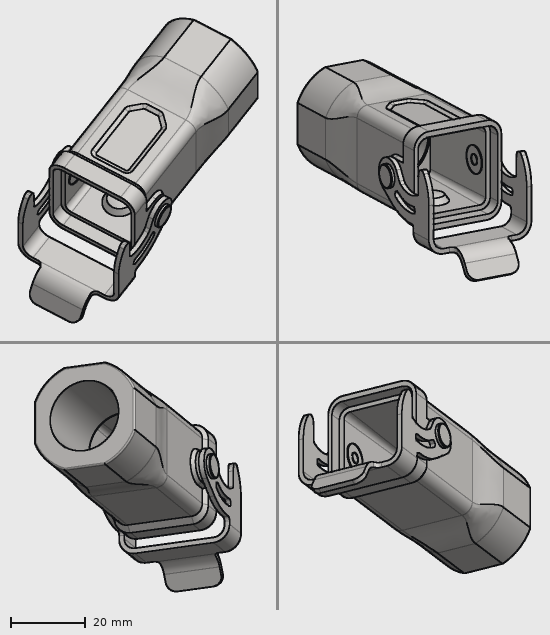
import cadquery as cq
import math


overall_length = 79.4
hood_length = 59.8
rear_size = 29.0
rear_flat = 11.75
rear_round_radius = 15.65
rear_start = 44.9
rear_edge_round = 0.5
body_size = 24.8
body_corner = 3.2
body_end = 31.9
collar_width = 27.2
collar_height = 28.1
collar_corner = 4.6
ramp_back = 7.0
ramp_length = (collar_height - body_size) / 2
blend_steps = 6

mouth_size = 24.8
mouth_corner = 3.1
mouth_depth = 4.0
cavity_size = 21.0
cavity_corner = 1.35
cavity_draft = 1.0
cavity_end = body_end
bore_diameter = 19.8
bore_chamfer = 0.3
screw_y = 13.6
screw_base_radius = 5.1
screw_shoulder_z = -9.1
screw_top_radius = 3.4
screw_base_z = -11.4
screw_top_z = -8.5

recess_width = 12.9
recess_front = 8.35
recess_back = 30.65
recess_cut = 3.65
recess_round = 1.9
recess_depth = 0.6
recess_bevel = 1.3

pivot_y = 9.5
pad_y = 10.4
pad_radius = 5.0
pad_draft = 30.0
neck_radius = 2.3
head_radius = 3.3
head_half_span = 17.0
head_chamfer = 0.2
rivet_radius = 4.0
rivet_inner_x = 10.65
rivet_hole_radius = 1.5
rivet_hole_depth = 0.8

strip = 1.5
lever_half_width = 16.0
lever_bend = 4.6
lever_bottom = -16.7
lever_front = -11.7
lever_back = -3.5
eye_radius = 5.0
arm_center = (-1.75, 6.8)
arm_inner_radius = 8.9
arm_outer_radius = 16.9
slot_radius = 12.9
slot_width = 2.1
slot_end_round = 0.95
slot_angles = (-53.8, -101.5)
arm_fillet = 2.4
eye_angles = (-56.0, 145.0)
arm_outer_start = -58.0
arm_inner_start = -53.0
corner_fillet = 0.95
horn_back = -6.1
horn_straight_z = 4.0
horn_shoulder = (-6.35, 5.55)
horn_tip = (-7.5, 6.5)
horn_arc_radius = 13.5
horn_arc_start = -2.2
horn_arc_end_angle = 143.0

tab_half_width = 8.0
tab_end = hood_length - overall_length
tab_bend = 6.2
tab_angle = math.radians(60)
tab_corner = 2.85
tab_neck = 1.6


def on_circle(center, radius, degrees):
    angle = math.radians(degrees)
    return (center[0] + radius * math.cos(angle), center[1] + radius * math.sin(angle))


def quarter_turned(point, quarters):
    for _ in range(quarters):
        point = (-point[1], point[0])
    return point


def rounded_outline(width, height, corner):
    return cq.Sketch().rect(width, height).vertices().fillet(corner)


def rounded_section(width, height, corner, y):
    """Rounded rectangle in the XZ plane at the given Y; it extrudes towards -Y."""
    return cq.Workplane("XZ", origin=(0, y, 0)).placeSketch(rounded_outline(width, height, corner))


def hood_section(grown):
    """Four flats and four corner arcs, growing from the body outline (0) to the rear outline (1)."""
    body_flat = body_size - 2 * body_corner
    body_diagonal = body_flat / math.sqrt(2) + body_corner
    half = (body_size + grown * (rear_size - body_size)) / 2
    flat = (body_flat + grown * (rear_flat - body_flat)) / 2
    diagonal = body_diagonal + grown * (rear_round_radius - body_diagonal)
    middle = diagonal * math.sqrt(0.5)
    sketch = cq.Sketch()
    for quarter in range(4):
        side_start, side_end, corner_middle, corner_end = (
            quarter_turned(point, quarter)
            for point in ((half, -flat), (half, flat), (middle, middle), (flat, half))
        )
        sketch = sketch.segment(side_start, side_end).arc(side_end, corner_middle, corner_end)
    return sketch.assemble()


def body_to_rear_blend():
    """Loft whose outline follows an S curve from the body to the rear section."""
    sections = []
    for step in range(blend_steps + 1):
        along = step / blend_steps
        grown = along * along * (3 - 2 * along)
        shift = cq.Location(cq.Vector(0, 0, -along * (rear_start - body_end)))
        sections.append(hood_section(grown).moved(shift))
    return cq.Workplane("XZ", origin=(0, body_end, 0)).placeSketch(*sections).loft()


def mouth_collar():
    """Thicker band at the mouth, reached by a 45 degree ramp that starts on the body outline."""
    flare_front = ramp_back - ramp_length
    flare = rounded_section(body_size, body_size, body_corner, ramp_back).extrude(ramp_length, taper=-45)
    limit = rounded_section(collar_width, collar_height, collar_corner, ramp_back).extrude(ramp_back)
    band = rounded_section(collar_width, collar_height, collar_corner, flare_front).extrude(flare_front)
    return flare.intersect(limit).union(band)


def hood_outside():
    rear_length = hood_length - rear_start
    rear = cq.Workplane("XZ", origin=(0, hood_length, 0)).placeSketch(hood_section(1)).extrude(rear_length)
    rear = rear.faces(">Y").edges().fillet(rear_edge_round)
    body = rounded_section(body_size, body_size, body_corner, body_end).extrude(body_end)
    return body.union(body_to_rear_blend()).union(rear).union(mouth_collar())


def pivot_pad(side):
    """Sloping-edged pad on the hood side, round at the back and running out into the collar."""
    face = body_size / 2
    rise = (collar_width - body_size) / 2
    pad = (
        cq.Workplane("YZ", origin=(face, pad_y / 2, 0))
        .slot2D(pad_y + 2 * pad_radius, 2 * pad_radius)
        .extrude(rise, taper=pad_draft)
    )
    hood_space = cq.Workplane("XZ").rect(collar_width, collar_height).extrude(-hood_length)
    pad = pad.intersect(hood_space)
    return pad if side > 0 else pad.mirror("YZ")


def hood_inside():
    mouth = rounded_section(mouth_size, mouth_size, mouth_corner, mouth_depth).extrude(mouth_depth)
    cavity = rounded_section(cavity_size, cavity_size, cavity_corner, cavity_end).extrude(
        cavity_end - mouth_depth, taper=-cavity_draft
    )
    bore = cq.Workplane("XZ", origin=(0, hood_length, 0)).circle(bore_diameter / 2).extrude(hood_length)
    countersink = (
        cq.Workplane("XZ", origin=(0, cavity_end + bore_chamfer, 0))
        .circle(bore_diameter / 2)
        .extrude(bore_chamfer, taper=-45)
    )
    return mouth.union(cavity).union(bore).union(countersink)


def label_recess():
    half = recess_width / 2
    outline = (
        cq.Sketch()
        .polygon([
            (-half, recess_front),
            (half, recess_front),
            (half, recess_back - recess_cut),
            (half - recess_cut, recess_back),
            (recess_cut - half, recess_back),
            (-half, recess_back - recess_cut),
            (-half, recess_front),
        ])
        .vertices()
        .fillet(recess_round)
    )
    wall_angle = math.degrees(math.atan2(recess_bevel, recess_depth))
    return (
        cq.Workplane("XY", origin=(0, 0, body_size / 2))
        .placeSketch(outline)
        .extrude(-recess_depth, taper=wall_angle)
    )


def screw_boss():
    """Cone on the cavity floor with a slightly domed top."""
    dome_rise = screw_top_z - screw_shoulder_z
    dome_radius = (screw_top_radius**2 + dome_rise**2) / (2 * dome_rise)
    half_angle = math.degrees(math.asin(screw_top_radius / dome_radius)) / 2
    dome_middle = on_circle((0, screw_top_z - dome_radius), dome_radius, 90 - half_angle)
    boss = (
        cq.Workplane("XZ")
        .moveTo(0, screw_base_z)
        .lineTo(screw_base_radius, screw_base_z)
        .lineTo(screw_top_radius, screw_shoulder_z)
        .threePointArc(dome_middle, (0, screw_top_z))
        .close()
        .revolve(360, (0, 0), (0, 1))
    )
    return boss.translate((0, screw_y, 0))


def pivot_pin(side):
    """Pin through the hood wall: outer head, neck, and a hollow rivet end inside."""
    wall_middle_x = (cavity_size + body_size) / 4

    def disc(radius, inner_x, outer_x):
        return cq.Workplane("YZ", origin=(inner_x, pivot_y, 0)).circle(radius).extrude(outer_x - inner_x)

    head = disc(head_radius, lever_half_width, head_half_span).faces(">X").chamfer(head_chamfer)
    neck = disc(neck_radius, wall_middle_x, lever_half_width)
    rivet = disc(rivet_radius, rivet_inner_x, wall_middle_x)
    hole = disc(rivet_hole_radius, rivet_inner_x, rivet_inner_x + rivet_hole_depth)
    pin = head.union(neck).union(rivet).cut(hole)
    return pin if side > 0 else pin.mirror("YZ")


def lever_profile():
    """Side outline of the lever: eye, curved arm, horn and foot."""
    pivot = (pivot_y, 0)
    eye_top = on_circle(pivot, eye_radius, eye_angles[1])
    eye_bottom = on_circle(pivot, eye_radius, eye_angles[0])
    arm_top = on_circle(arm_center, arm_inner_radius, arm_inner_start)
    arm_top_end_angle = -90 - math.degrees(math.asin((arm_center[0] - horn_back) / arm_inner_radius))
    arm_bottom = on_circle(arm_center, arm_outer_radius, arm_outer_start)
    arm_bottom_end_angle = -90 - math.degrees(math.asin((arm_center[0] - lever_back) / arm_outer_radius))
    arm_bottom_middle = (arm_outer_start + arm_bottom_end_angle) / 2
    arm_top_middle = (arm_inner_start + arm_top_end_angle) / 2
    horn_root = on_circle(arm_center, arm_inner_radius, arm_top_end_angle)
    foot_root = on_circle(arm_center, arm_outer_radius, arm_bottom_end_angle)
    horn_arc_middle = (180 + horn_arc_end_angle) / 2
    horn_bottom = (lever_front, horn_arc_start)
    horn_center = (lever_front + horn_arc_radius, horn_arc_start)
    profile = (
        cq.Workplane("YZ", origin=(-lever_half_width, 0, 0))
        .moveTo(*eye_bottom)
        .threePointArc(on_circle(pivot, eye_radius, sum(eye_angles) / 2), eye_top)
        .lineTo(*arm_top)
        .threePointArc(on_circle(arm_center, arm_inner_radius, arm_top_middle), horn_root)
        .lineTo(horn_back, horn_straight_z)
        .lineTo(*horn_shoulder)
        .threePointArc(horn_tip, on_circle(horn_center, horn_arc_radius, horn_arc_end_angle))
        .threePointArc(on_circle(horn_center, horn_arc_radius, horn_arc_middle), horn_bottom)
        .lineTo(lever_front, lever_bottom)
        .lineTo(lever_back, lever_bottom)
        .lineTo(*foot_root)
        .threePointArc(on_circle(arm_center, arm_outer_radius, arm_bottom_middle), arm_bottom)
        .close()
        .extrude(2 * lever_half_width)
    )
    for corner, radius in ((arm_top, arm_fillet), (horn_root, corner_fillet), (foot_root, corner_fillet)):
        edge = cq.selectors.NearestToPointSelector((0, *corner))
        profile = profile.edges(edge).fillet(radius)
    return profile


def arm_slot():
    """Curved slot with round ends, following the arm."""
    start, end = slot_angles
    outer = slot_radius + slot_width / 2
    inner = slot_radius - slot_width / 2
    middle = (start + end) / 2
    slot = (
        cq.Workplane("YZ", origin=(-lever_half_width, 0, 0))
        .moveTo(*on_circle(arm_center, outer, start))
        .threePointArc(on_circle(arm_center, outer, middle), on_circle(arm_center, outer, end))
        .lineTo(*on_circle(arm_center, inner, end))
        .threePointArc(on_circle(arm_center, inner, middle), on_circle(arm_center, inner, start))
        .close()
        .extrude(2 * lever_half_width)
    )
    return slot.edges("|X").fillet(slot_end_round)


def finger_tab():
    """Curled strip in front of the lever foot, with rounded corners and a filleted neck."""
    top = lever_bottom + strip
    pivot = (lever_front, top - tab_bend)
    final = 90 + math.degrees(tab_angle)
    halfway = (90 + final) / 2
    inner_bend = tab_bend - strip
    bend_end = on_circle(pivot, tab_bend, final)
    straight = (bend_end[0] - tab_end) / math.cos(tab_angle)
    tip = (tab_end, bend_end[1] - straight * math.sin(tab_angle))
    lower_tip = (tip[0] + strip * math.sin(tab_angle), tip[1] - strip * math.cos(tab_angle))
    curl = (
        cq.Workplane("YZ", origin=(-lever_half_width, 0, 0))
        .moveTo(lever_front, top)
        .threePointArc(on_circle(pivot, tab_bend, halfway), bend_end)
        .lineTo(*tip)
        .lineTo(*lower_tip)
        .lineTo(*on_circle(pivot, inner_bend, final))
        .threePointArc(on_circle(pivot, inner_bend, halfway), (lever_front, lever_bottom))
        .close()
        .extrude(2 * lever_half_width)
    )
    neck_edge = tab_half_width + tab_neck
    diagonal = tab_neck * (1 - math.sqrt(0.5))
    plan = (
        cq.Workplane("XY", origin=(0, 0, tip[1] - strip))
        .moveTo(-neck_edge, lever_front)
        .threePointArc(
            (-tab_half_width - diagonal, lever_front - diagonal),
            (-tab_half_width, lever_front - tab_neck),
        )
        .lineTo(-tab_half_width, tab_end)
        .lineTo(tab_half_width, tab_end)
        .lineTo(tab_half_width, lever_front - tab_neck)
        .threePointArc(
            (tab_half_width + diagonal, lever_front - diagonal),
            (neck_edge, lever_front),
        )
        .close()
        .extrude(top - tip[1] + strip)
    )
    tab = curl.intersect(plan)
    return tab.faces("<Y").edges("not |X").fillet(tab_corner)


def lever():
    """U-shaped strip cut to the side profile, with the slots and the finger tab."""
    height = horn_tip[1] - lever_bottom
    depth = pivot_y + eye_radius - lever_front
    box_center = (0, lever_front + depth / 2, lever_bottom + height / 2)
    outer = cq.Workplane("XY").box(2 * lever_half_width, depth, height).translate(box_center)
    outer = outer.edges("|Y and <Z").fillet(lever_bend)
    gap = cq.Workplane("XY").box(2 * (lever_half_width - strip), depth, height)
    gap = gap.translate(box_center).translate((0, 0, strip))
    gap = gap.edges("|Y and <Z").fillet(lever_bend - strip)
    return lever_profile().intersect(outer.cut(gap)).cut(arm_slot()).union(finger_tab())


result = hood_outside()
for side in (-1, 1):
    result = result.union(pivot_pad(side))
result = result.cut(hood_inside()).cut(label_recess()).union(screw_boss())
for side in (-1, 1):
    result = result.union(pivot_pin(side))
result = result.union(lever())